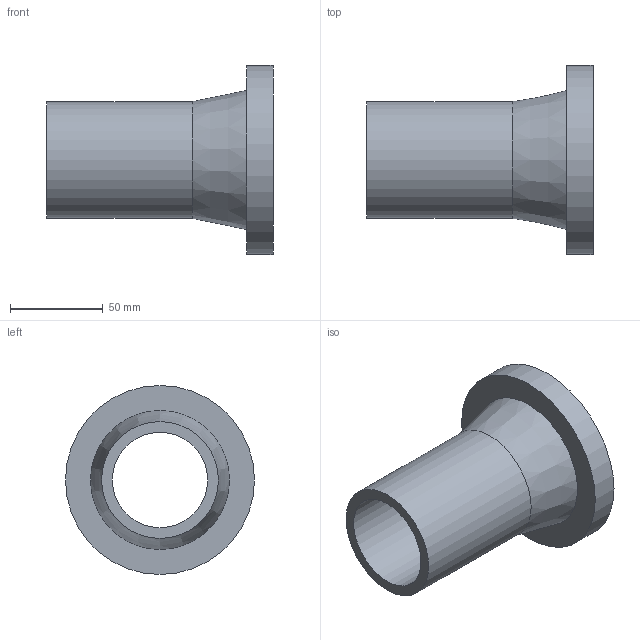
import cadquery as cq

total_length = 122.0
flange_thickness = 14.3
tube_length = 78.3

bore_diameter = 51.4
tube_diameter = 63.0
neck_diameter = 75.0
flange_diameter = 102.0

flange_start = total_length - flange_thickness
neck_length = flange_start - tube_length


def make_tube():
    """Straight spigot, starting at X = 0."""
    return cq.Workplane("YZ").circle(tube_diameter / 2).extrude(tube_length)


def make_neck():
    """Cone that widens from the tube to the flange."""
    cone = cq.Solid.makeCone(
        tube_diameter / 2,
        neck_diameter / 2,
        neck_length,
        pnt=cq.Vector(tube_length, 0, 0),
        dir=cq.Vector(1, 0, 0),
    )
    return cq.Workplane(obj=cone)


def make_flange():
    """Flat collar at the +X end."""
    return (
        cq.Workplane("YZ", origin=(flange_start, 0, 0))
        .circle(flange_diameter / 2)
        .extrude(flange_thickness)
    )


def make_bore():
    """Through bore along the whole part."""
    return cq.Workplane("YZ").circle(bore_diameter / 2).extrude(total_length)


result = make_tube().union(make_neck()).union(make_flange()).cut(make_bore())